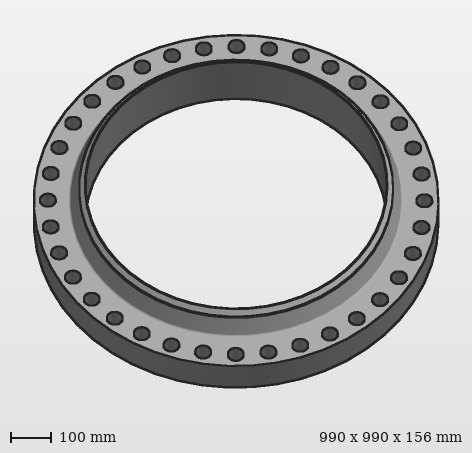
import cadquery as cq
import math

flange_radius = 495.0
flange_thickness = 92.0
total_height = 156.0
bore_radius = 368.0

land_width = 2.0
bevel_radius = 384.0
bevel_height = 12.0
neck_height = 5.0
hub_base_radius = 406.0
hub_fillet_radius = 6.0

bolt_count = 36
bolt_circle_radius = 460.5
bolt_hole_diameter = 39.0

bevel_bottom = total_height - bevel_height
neck_bottom = bevel_bottom - neck_height

taper_rise = neck_bottom - flange_thickness
taper_angle = math.atan2(taper_rise, hub_base_radius - bevel_radius)
fillet_tangent = hub_fillet_radius * math.tan(taper_angle / 2)
fillet_center = (hub_base_radius + fillet_tangent, flange_thickness + hub_fillet_radius)
fillet_end = (
    hub_base_radius - fillet_tangent * math.cos(taper_angle),
    flange_thickness + fillet_tangent * math.sin(taper_angle),
)
fillet_middle = (
    fillet_center[0] - hub_fillet_radius * math.sin(taper_angle / 2),
    fillet_center[1] - hub_fillet_radius * math.cos(taper_angle / 2),
)


def make_body():
    """Revolve the half section of the flange ring and its hub."""
    section = (
        cq.Workplane("XZ")
        .moveTo(bore_radius, 0)
        .lineTo(flange_radius, 0)
        .lineTo(flange_radius, flange_thickness)
        .lineTo(hub_base_radius + fillet_tangent, flange_thickness)
        .threePointArc(fillet_middle, fillet_end)
        .lineTo(bevel_radius, neck_bottom)
        .lineTo(bevel_radius, bevel_bottom)
        .lineTo(bore_radius + land_width, total_height)
        .lineTo(bore_radius, total_height)
        .close()
    )
    return section.revolve(360, (0, 0, 0), (0, 1, 0))


def drill_bolt_holes(body):
    """Cut the evenly spaced through holes, the first one on the +X axis."""
    holes = (
        cq.Workplane("XY")
        .polarArray(bolt_circle_radius, 0, 360, bolt_count)
        .circle(bolt_hole_diameter / 2)
        .extrude(flange_thickness)
    )
    return body.cut(holes)


result = drill_bolt_holes(make_body())